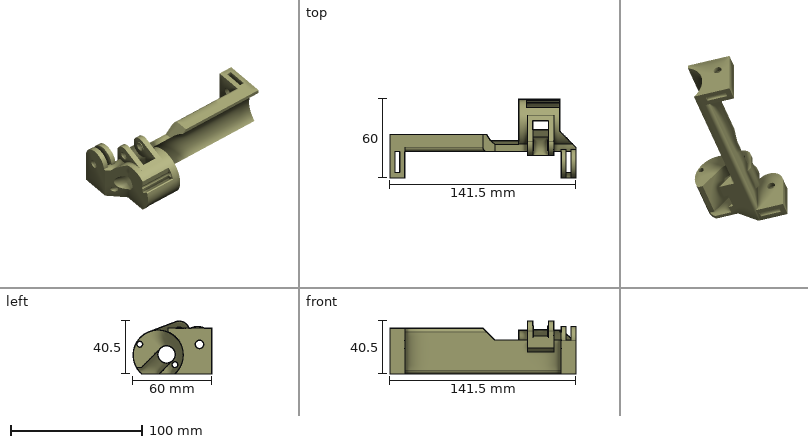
import cadquery as cq
import math

LENGTH = 141.5
BAR_FRONT = 20.1
BAR_BACK = 33.3
BAR_TOP = 35.1
LOW_TOP = 26.0
SLOPE_START = 70.8
EDGE_RADIUS = 3.0
BLOCK_WIDTH = 11.3

POCKET_FRONT = 4.2
POCKET_WIDTH = 3.5
POCKET_START = 3.8
CLEVIS_GAP_START = 134.0
BLOCK_HOLE = (9.5, 22.6)
BLOCK_HOLE_RADIUS = 3.1
CLEVIS_RADIUS = 10.9
CLEVIS_AXIS_Z = 25.5
CORNER_FRONT = 23.2

DRUM_RADIUS = 19.0
TROUGH_RADIUS = 19.2
DRUM_AXIS = (41.0, 14.6)
DRUM_START = 97.8
DRUM_END = 129.2
BORE_AXIS = (34.5, 15.0)
BORE_RADIUS = 6.5
LEDGE_Z = 5.1
END_WALL = 2.8
SIDE_WALL = 6.1
CATCH_PIN = (54.9, 22.8)
LOWER_PIN = (28.2, 7.2)
PIN_RADIUS = 2.1
CATCH_EDGE = 53.5
CATCH_RADIUS = 4.7
CATCH_LIP = 2.8
LIP_AXIS_Y = 58.3
LIP_RADIUS = 1.0

HINGE_START = 104.4
HINGE_END = 124.7
HINGE_WALL = 4.2
HINGE_AXIS = (24.9, 32.7)
HINGE_RADIUS = 7.8
HINGE_BOTTOM = 17.0
HINGE_BACK = 48.0
HINGE_HOLE_RADIUS = 3.1
RELIEF_RADIUS = 8.6
BOSS_RADIUS = 4.1
BOSS_HEIGHT = 0.4
WINDOW_FRONT = 31.3
WINDOW_BACK = 43.5
FLOOR_OPENING = 36.8


def box(x0, x1, y0, y1, z0, z1):
    return cq.Workplane("XY").box(x1 - x0, y1 - y0, z1 - z0, centered=False).translate((x0, y0, z0))


def rod(axis, radius, x0, x1):
    return cq.Workplane("YZ", origin=(x0, 0, 0)).center(*axis).circle(radius).extrude(x1 - x0)


def prism(points, x0, x1):
    return cq.Workplane("YZ", origin=(x0, 0, 0)).polyline(points).close().extrude(x1 - x0)


def circle_height(y):
    """Height of the drum's upper surface at a given Y."""
    return DRUM_AXIS[1] + math.sqrt(DRUM_RADIUS**2 - (y - DRUM_AXIS[0])**2)


def make_bar():
    slope_end = SLOPE_START + BAR_TOP - LOW_TOP
    bar = box(0, LENGTH, BAR_FRONT, BAR_BACK, 0, BAR_TOP)
    bar = bar.edges("|X and <Y").fillet(EDGE_RADIUS)
    step = (
        cq.Workplane("XZ")
        .polyline([(SLOPE_START, BAR_TOP), (slope_end, LOW_TOP), (LENGTH, LOW_TOP), (LENGTH, BAR_TOP)])
        .close()
        .extrude(-BAR_BACK)
    )
    return bar.cut(step)


def make_end_block():
    block = box(0, BLOCK_WIDTH, 0, BAR_FRONT + EDGE_RADIUS, 0, BAR_TOP)
    pocket = box(POCKET_START, POCKET_START + POCKET_WIDTH, POCKET_FRONT, BAR_FRONT, 0, BAR_TOP)
    return block.cut(pocket).cut(rod(BLOCK_HOLE, BLOCK_HOLE_RADIUS, 0, BLOCK_WIDTH))


def make_clevis():
    start = LENGTH - BLOCK_WIDTH
    gap_end = CLEVIS_GAP_START + POCKET_WIDTH
    clevis = box(start, LENGTH, 0, 2 * CLEVIS_RADIUS, 0, CLEVIS_AXIS_Z)
    clevis = clevis.union(rod((CLEVIS_RADIUS, CLEVIS_AXIS_Z), CLEVIS_RADIUS, start, LENGTH))
    pocket = box(CLEVIS_GAP_START, gap_end, POCKET_FRONT, BAR_FRONT, 0, LOW_TOP)
    gap = box(CLEVIS_GAP_START, gap_end, 0, 2 * CLEVIS_RADIUS, LOW_TOP, CLEVIS_AXIS_Z + CLEVIS_RADIUS)
    return clevis.cut(pocket).cut(gap).cut(rod(BLOCK_HOLE, BLOCK_HOLE_RADIUS, start, LENGTH))


def make_drum():
    """Drum with a flat base, running on to the clevis side."""
    above_base = box(DRUM_START, LENGTH, BAR_FRONT, DRUM_AXIS[0] + DRUM_RADIUS, 0, BAR_TOP)
    return rod(DRUM_AXIS, DRUM_RADIUS, DRUM_START, LENGTH).intersect(above_base)


def make_corner_cut():
    """Space beyond the drum's end and its 45 degree bevel down to the clevis side."""
    drum_back = DRUM_AXIS[0] + DRUM_RADIUS
    corner_back = CORNER_FRONT + LENGTH - DRUM_END
    outline = [(LENGTH, CORNER_FRONT), (DRUM_END, corner_back), (DRUM_END, drum_back), (LENGTH, drum_back)]
    return cq.Workplane("XY").polyline(outline).close().extrude(BAR_TOP)


def make_hinge():
    """Bracket whose sloping top is tangent to the round hinge end."""
    axis_y, axis_z = HINGE_AXIS
    front = axis_y - HINGE_RADIUS
    back_z = circle_height(HINGE_BACK)
    run = HINGE_BACK - axis_y
    rise = back_z - axis_z
    tangent = math.atan2(rise, run) + math.acos(HINGE_RADIUS / math.hypot(run, rise))
    tangent_point = (axis_y + HINGE_RADIUS * math.cos(tangent), axis_z + HINGE_RADIUS * math.sin(tangent))
    chamfer_top = HINGE_BOTTOM + BAR_FRONT - front
    outline = [
        (BAR_FRONT, HINGE_BOTTOM),
        (front, chamfer_top),
        (front, axis_z),
        HINGE_AXIS,
        tangent_point,
        (HINGE_BACK, back_z),
        DRUM_AXIS,
        (DRUM_AXIS[0] - DRUM_RADIUS + EDGE_RADIUS, HINGE_BOTTOM),
    ]
    return prism(outline, HINGE_START, HINGE_END).union(rod(HINGE_AXIS, HINGE_RADIUS, HINGE_START, HINGE_END))


def make_hinge_gap():
    """Space between the lugs, opening into a window through the drum."""
    x0 = HINGE_START + HINGE_WALL
    x1 = HINGE_END - HINGE_WALL
    top = HINGE_AXIS[1] + RELIEF_RADIUS
    window = box(x0, x1, WINDOW_FRONT, WINDOW_BACK, BORE_AXIS[1], top)
    floor = box(x0, x1, FLOOR_OPENING, WINDOW_BACK, 0, BORE_AXIS[1])
    upper = box(x0, x1, HINGE_AXIS[0], WINDOW_FRONT, HINGE_AXIS[1], top)
    relief = rod(HINGE_AXIS, RELIEF_RADIUS, x0, x1)
    bosses = rod(HINGE_AXIS, BOSS_RADIUS, x0, x0 + BOSS_HEIGHT)
    bosses = bosses.union(rod(HINGE_AXIS, BOSS_RADIUS, x1 - BOSS_HEIGHT, x1))
    return window.union(upper).union(floor).union(relief).cut(bosses)


def make_slot():
    """Slot as wide as the bore, slanting 45 degrees down and back to the drum's rim."""
    y, z = BORE_AXIS
    offset = BORE_RADIUS * math.sqrt(0.5)
    upper_y, upper_z = y + offset, z + offset
    lower_y, lower_z = y - offset, z - offset
    outline = [
        (upper_y, upper_z),
        (upper_y + upper_z - LEDGE_Z, LEDGE_Z),
        (DRUM_AXIS[0] + DRUM_RADIUS, LEDGE_Z),
        (DRUM_AXIS[0] + DRUM_RADIUS, 0),
        (lower_y + lower_z, 0),
        (lower_y, lower_z),
    ]
    return prism(outline, DRUM_START, DRUM_END - END_WALL)


def make_catch():
    """Round-bottomed recess behind the drum's side wall, leaving a low rounded lip."""
    x0 = DRUM_START + SIDE_WALL
    y1 = DRUM_AXIS[0] + DRUM_RADIUS
    axis_z = CATCH_PIN[1]
    opening = box(x0, DRUM_END, CATCH_EDGE, y1, axis_z - CATCH_LIP, BAR_TOP)
    lip = rod((LIP_AXIS_Y, axis_z - CATCH_LIP), LIP_RADIUS, x0, DRUM_END)
    bounds = box(x0, DRUM_END, CATCH_EDGE, y1, 0, BAR_TOP)
    return rod((CATCH_EDGE, axis_z), CATCH_RADIUS, x0, DRUM_END).intersect(bounds).union(opening.cut(lip))


result = make_bar().union(make_end_block())
result = result.cut(rod(DRUM_AXIS, TROUGH_RADIUS, 0, DRUM_START))
result = result.union(make_drum()).union(make_hinge()).union(make_clevis())
result = result.cut(make_corner_cut())
result = result.cut(make_hinge_gap()).cut(make_slot()).cut(make_catch())
result = result.cut(rod(BORE_AXIS, BORE_RADIUS, DRUM_START, LENGTH))
result = result.cut(rod(HINGE_AXIS, HINGE_HOLE_RADIUS, HINGE_START, HINGE_END))
result = result.cut(rod(CATCH_PIN, PIN_RADIUS, DRUM_START, LENGTH))
result = result.cut(rod(LOWER_PIN, PIN_RADIUS, DRUM_START, LENGTH))